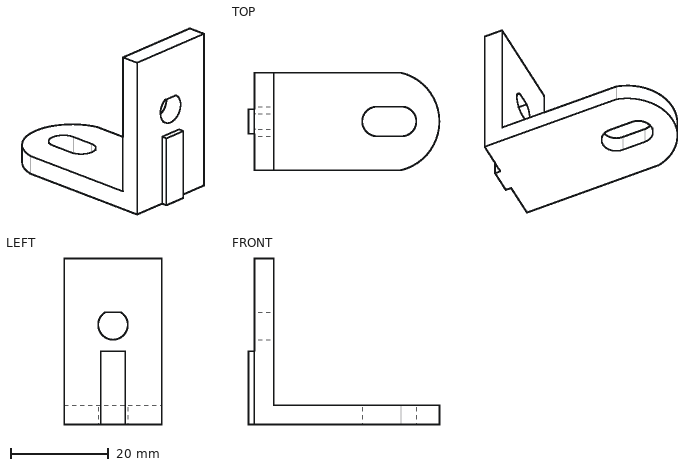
import cadquery as cq
import math

length = 39.08
width = 20.0
height = 34.0
thickness = 4.0

key_depth = 1.2
key_width = 5.08
key_height = 15.0

end_radius = 10.28
slot_length = 11.02
slot_width = 6.0

hole_diameter = 6.0
hole_height = 20.4
hole_flat_offset = 2.55

wall_x = key_depth
end_center_x = length - end_radius
arc_start_x = end_center_x + math.sqrt(end_radius**2 - (width / 2) ** 2)


def make_base():
    """Horizontal plate with an arc end and a lengthwise slot."""
    plate = (
        cq.Workplane("XY")
        .moveTo(wall_x, -width / 2)
        .lineTo(arc_start_x, -width / 2)
        .threePointArc((length, 0), (arc_start_x, width / 2))
        .lineTo(wall_x, width / 2)
        .close()
        .extrude(thickness)
    )
    slot = (
        cq.Workplane("XY")
        .center(end_center_x, 0)
        .slot2D(slot_length, slot_width)
        .extrude(thickness)
    )
    return plate.cut(slot)


def block_on_floor(start_x, depth, block_width, block_height):
    """Box centred across Y, standing on Z = 0."""
    return (
        cq.Workplane("XY")
        .box(depth, block_width, block_height, centered=(False, True, False))
        .translate((start_x, 0, 0))
    )


def make_flatted_hole():
    """Cylinder along X, cut off by a horizontal flat above its axis."""
    radius = hole_diameter / 2
    flat_half_width = math.sqrt(radius**2 - hole_flat_offset**2)
    return (
        cq.Workplane("YZ", origin=(wall_x, 0, hole_height))
        .moveTo(flat_half_width, hole_flat_offset)
        .lineTo(-flat_half_width, hole_flat_offset)
        .threePointArc((0, -radius), (flat_half_width, hole_flat_offset))
        .close()
        .extrude(thickness)
    )


wall = block_on_floor(wall_x, thickness, width, height).cut(make_flatted_hole())
key = block_on_floor(0, key_depth, key_width, key_height)
result = make_base().union(wall).union(key)